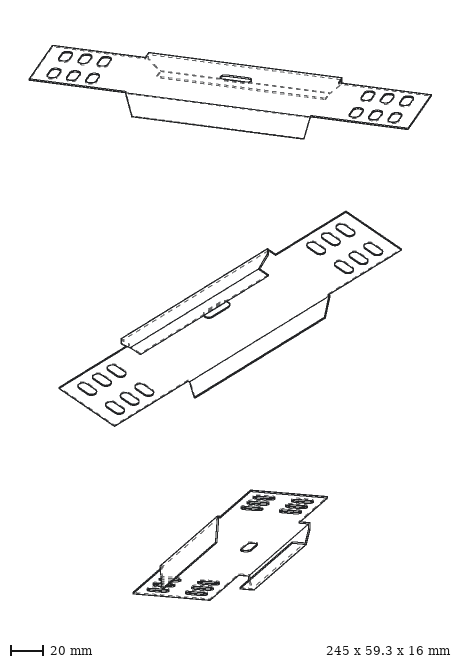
import cadquery as cq

thickness = 1.0
length = 245.0
width = 59.3
front_flange_height = 16.0

back_step = 7.4
front_step = 2.0
back_half_length = 62.5
front_half_length = 59.8

front_bottom_half_length = 55.5

back_flange_height = 12.0
back_straight_height = 4.2
lip_depth = 9.0
corner_clip = back_flange_height - back_straight_height
lip_half_length = back_half_length - corner_clip

slot_width = 6.5
end_slot_length = 14.0
end_slot_pitch = 12.5
end_slot_row_spacing = 25.0
end_slot_margin = 12.2
slots_per_row = 3
center_slot_length = 20.0
center_slot_from_back = 20.0

front_y = -width / 2
back_y = width / 2
tongue_front_y = front_y + front_step
tongue_back_y = back_y - back_step
tongue_mid_y = (tongue_front_y + tongue_back_y) / 2


def plate_block(x_size, y_min, y_max, z_top):
    """Flat sheet centred on X, hanging one thickness below z_top."""
    sheet = cq.Workplane("XY").box(x_size, y_max - y_min, thickness, centered=(True, False, False))
    return sheet.translate((0, y_min, z_top - thickness))


def flange(half_profile, outer_y, inward):
    """Upright sheet from the right half of its outline, mirrored across X = 0."""
    left_half = [(-x, z) for x, z in reversed(half_profile)]
    sheet = cq.Workplane("XZ").polyline(half_profile + left_half).close().extrude(-inward * thickness)
    return sheet.translate((0, outer_y, 0))


def slot_cutters(points, slot_length, angle):
    """Slots passing through the plate only."""
    cutters = cq.Workplane("XY").pushPoints(points).slot2D(slot_length, slot_width, angle)
    return cutters.extrude(-thickness)


tongues = plate_block(length, tongue_front_y, tongue_back_y, 0)
front_wide_area = plate_block(2 * front_half_length, front_y, tongue_mid_y, 0)
back_wide_area = plate_block(2 * back_half_length, tongue_mid_y, back_y, 0)
plate = tongues.union(front_wide_area).union(back_wide_area)

front_flange = flange(
    [(front_half_length, 0), (front_bottom_half_length, -front_flange_height)],
    front_y,
    inward=1,
)
back_flange = flange(
    [
        (back_half_length, 0),
        (back_half_length, -back_straight_height),
        (lip_half_length, -back_flange_height),
    ],
    back_y,
    inward=-1,
)
lip_top = thickness - back_flange_height
lip = plate_block(2 * lip_half_length, back_y - lip_depth, back_y, lip_top)
body = plate.union(front_flange).union(back_flange).union(lip)

end_slot_points = [
    (
        side * (length / 2 - end_slot_margin - i * end_slot_pitch),
        tongue_mid_y + row * end_slot_row_spacing / 2,
    )
    for side in (-1, 1)
    for row in (-1, 1)
    for i in range(slots_per_row)
]
end_slots = slot_cutters(end_slot_points, end_slot_length, angle=90)

center_slot = slot_cutters([(0, back_y - center_slot_from_back)], center_slot_length, angle=0)

result = body.cut(end_slots).cut(center_slot)